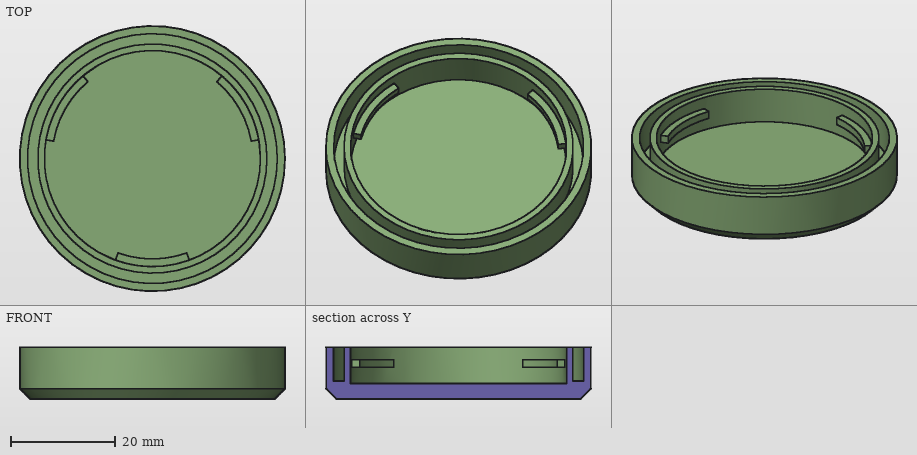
import cadquery as cq

outer_diameter = 51.0
height = 10.0
bottom_chamfer = 2.0

groove_outer_diameter = 48.0
groove_inner_diameter = 44.0
recess_diameter = 41.5
floor_thickness = 3.0
groove_floor_height = 3.5

tab_count = 3
tab_angle = 40.0
first_tab_direction = 30.0
tab_projection = 1.5
tab_height = 1.5
tab_top_depth = 2.4
wall_overlap = 0.5


def make_body():
    """Round cap with a bevelled bottom edge."""
    body = cq.Workplane("XY").circle(outer_diameter / 2).extrude(height)
    return body.faces("<Z").chamfer(bottom_chamfer)


def make_recess():
    """Central round recess, open at the top."""
    floor = cq.Workplane("XY").workplane(offset=floor_thickness)
    return floor.circle(recess_diameter / 2).extrude(height - floor_thickness)


def make_groove():
    """Ring-shaped groove between the two walls, open at the top."""
    floor = cq.Workplane("XY").workplane(offset=groove_floor_height)
    ring = floor.circle(groove_outer_diameter / 2).circle(groove_inner_diameter / 2)
    return ring.extrude(height - groove_floor_height)


def make_tab(direction):
    """Arc-shaped tab with radial ends, centred on the given direction in degrees."""
    inner_radius = recess_diameter / 2 - tab_projection
    outer_radius = recess_diameter / 2 + wall_overlap
    bottom = height - tab_top_depth - tab_height
    tab = (
        cq.Workplane("XZ")
        .moveTo(inner_radius, bottom)
        .lineTo(outer_radius, bottom)
        .lineTo(outer_radius, bottom + tab_height)
        .lineTo(inner_radius, bottom + tab_height)
        .close()
        .revolve(tab_angle, (0, 0, 0), (0, 1, 0))
    )
    return tab.rotate((0, 0, 0), (0, 0, 1), direction - tab_angle / 2)


result = make_body().cut(make_recess()).cut(make_groove())
for index in range(tab_count):
    result = result.union(make_tab(first_tab_direction + index * 360.0 / tab_count))